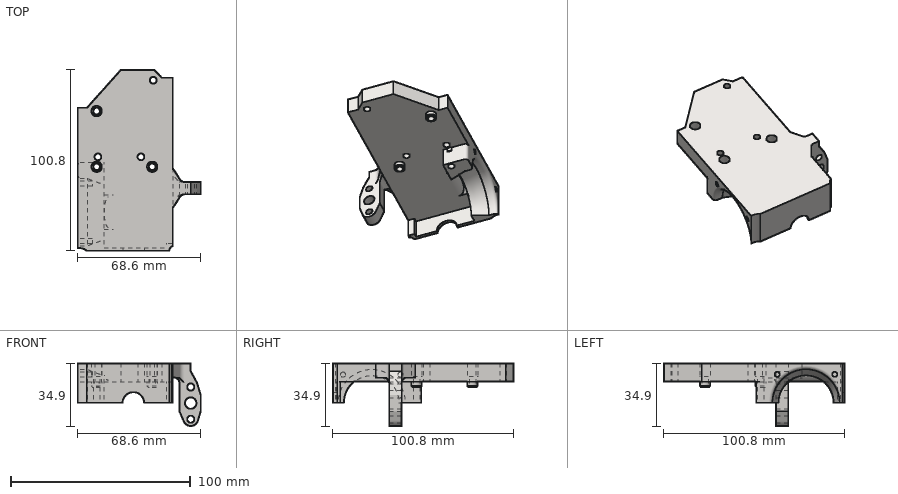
import cadquery as cq
import math


plate_width = 53.1
plate_length = 100.8
plate_thickness = 10.1
left_side_length = 79.7
left_step = 5.2
slope_end_x = 24.1
rear_flat_end_x = 42.7
right_shoulder_x = 46.8
right_side_length = 96.4

cradle_depth = 22.0
cradle_length = 49.4
left_wall = 14.5
front_wall = 1.7
rear_corner_radius = 1.9

recess_depth = 1.4
recess_flat = 1.2
recess_end_x = 5.0

right_recess_depth = 2.4
right_recess_flat = 0.6
right_recess_run = 1.5
right_recess_bulge = 0.25

bore_y = 21.6
mouth_radius = 20.8
bore_radius = 18.7
bore_straight_end = 5.2
bore_throat_radius = 15.3
runout_round = 5.0

notch_x = 31.0
notch_radius = 5.9

side_hole_radius = 1.4
side_hole_offset = 16.0
side_hole_z = -6.0
side_hole_depth = 8.1

screw_positions = [(10.6, 77.8), (10.6, 46.7), (41.5, 46.7)]
screw_radius = 1.8
counterbore_radius = 2.9
counterbore_depth = 7.1
boss_radius = 2.9
boss_height = 3.0
boss_chamfer = 0.6

plain_hole_positions = [(42.1, 94.9), (11.3, 52.3), (35.3, 52.3)]
plain_hole_radius = 1.8

arm_y = 34.9
arm_width = 7.1
arm_left = 56.6
arm_right = 68.6
arm_axis_x = 63.0
arm_depth = 34.9
arm_taper_z = -26.6
arm_right_top_z = -17.5
arm_bend = (66.5, -10.7)
arm_neck_z = -4.2
arm_tip_radius = 4.2
arm_hole_z = -22.1
arm_hole_spacing = 9.0
arm_hole_radius = 1.9
arm_center_hole_radius = 3.1

web_thickness = 7.9
web_half_width = 11.0
web_end_x = 57.8
web_blend_radius = 3.0
web_fillet = 3.0

pick_margin = 0.1


def z_cylinder(x, y, radius, top, bottom):
    return cq.Workplane("XY", origin=(x, y, bottom)).circle(radius).extrude(top - bottom)


def make_plate():
    outline = [
        (0, 0),
        (plate_width, 0),
        (plate_width, right_side_length),
        (right_shoulder_x, right_side_length),
        (rear_flat_end_x, plate_length),
        (slope_end_x, plate_length),
        (left_step, left_side_length),
        (0, left_side_length),
    ]
    return cq.Workplane("XY").polyline(outline).close().extrude(-plate_thickness)


def make_cradle():
    left = (
        cq.Workplane("XY")
        .box(left_wall, cradle_length, cradle_depth, centered=False)
        .translate((0, 0, -cradle_depth))
        .edges("|Z and <X and >Y")
        .fillet(rear_corner_radius)
    )
    front = (
        cq.Workplane("XY")
        .box(plate_width, front_wall, cradle_depth, centered=False)
        .translate((0, 0, -cradle_depth))
    )
    post_x = right_recess_flat + right_recess_run + front_wall
    post_y = right_recess_depth + front_wall
    post = (
        cq.Workplane("XY")
        .box(post_x, post_y, cradle_depth, centered=False)
        .translate((plate_width - post_x, 0, -cradle_depth))
    )
    return left.union(front).union(post)


def make_left_recess():
    run = recess_end_x - recess_flat
    radius = (run**2 + recess_depth**2) / (2 * recess_depth)
    half_angle = math.asin(run / radius) / 2
    middle = (
        recess_flat + radius * math.sin(half_angle),
        recess_depth - radius * (1 - math.cos(half_angle)),
    )
    return (
        cq.Workplane("XY")
        .lineTo(0, recess_depth)
        .lineTo(recess_flat, recess_depth)
        .threePointArc(middle, (recess_end_x, 0))
        .close()
        .extrude(-cradle_depth)
    )


def make_right_recess():
    flat_x = plate_width - right_recess_flat
    start_x = flat_x - right_recess_run
    chord = math.hypot(right_recess_run, right_recess_depth)
    middle = (
        (start_x + flat_x) / 2 - right_recess_bulge * right_recess_depth / chord,
        right_recess_depth / 2 + right_recess_bulge * right_recess_run / chord,
    )
    return (
        cq.Workplane("XY")
        .moveTo(start_x, 0)
        .threePointArc(middle, (flat_x, right_recess_depth))
        .lineTo(plate_width, right_recess_depth)
        .lineTo(plate_width, 0)
        .close()
        .extrude(-cradle_depth)
    )


def make_bore():
    mouth_round = mouth_radius - bore_radius
    diagonal = mouth_round * math.sqrt(0.5)
    profile = (
        cq.Workplane("XY")
        .lineTo(0, mouth_radius)
        .threePointArc(
            (mouth_round - diagonal, mouth_radius - diagonal),
            (mouth_round, bore_radius),
        )
        .lineTo(bore_straight_end, bore_radius)
        .lineTo(left_wall, bore_throat_radius)
        .lineTo(left_wall, 0)
        .close()
    )
    return profile.revolve(360, (0, 0, 0), (1, 0, 0)).translate((0, bore_y, -cradle_depth))


def make_bore_runout():
    runout_end = left_wall + runout_round
    round_top = runout_round - plate_thickness
    throat = (
        cq.Workplane("YZ", origin=(left_wall, bore_y, -cradle_depth))
        .circle(bore_throat_radius)
        .extrude(runout_round)
    )
    kept_edge = (
        cq.Workplane("XZ", origin=(runout_end, plate_length, round_top))
        .circle(runout_round)
        .extrude(plate_length)
    )
    above_plate_underside = (
        cq.Workplane("XY")
        .box(runout_round, cradle_length, plate_thickness, centered=False)
        .translate((left_wall, 0, -plate_thickness))
    )
    return throat.intersect(above_plate_underside).cut(kept_edge)


def make_arm():
    tip_z = arm_tip_radius - arm_depth

    def tangent_point(start_x, side):
        dx = start_x - arm_axis_x
        dz = arm_taper_z - tip_z
        angle = math.atan2(dz, dx) + side * math.acos(arm_tip_radius / math.hypot(dx, dz))
        return (
            arm_axis_x + arm_tip_radius * math.cos(angle),
            tip_z + arm_tip_radius * math.sin(angle),
        )

    profile = (
        cq.Workplane("XZ", origin=(0, arm_y + arm_width / 2, 0))
        .moveTo(arm_left, 0)
        .lineTo(arm_left, arm_taper_z)
        .lineTo(*tangent_point(arm_left, 1))
        .threePointArc((arm_axis_x, -arm_depth), tangent_point(arm_right, -1))
        .lineTo(arm_right, arm_taper_z)
        .lineTo(arm_right, arm_right_top_z)
        .lineTo(*arm_bend)
        .lineTo(arm_axis_x, arm_neck_z)
        .lineTo(arm_axis_x, 0)
        .close()
        .extrude(arm_width)
    )
    holes = [
        (arm_hole_z + arm_hole_spacing, arm_hole_radius),
        (arm_hole_z, arm_center_hole_radius),
        (arm_hole_z - arm_hole_spacing, arm_hole_radius),
    ]
    for z, radius in holes:
        hole = (
            cq.Workplane("XZ", origin=(arm_axis_x, arm_y + arm_width / 2, z))
            .circle(radius)
            .extrude(arm_width)
        )
        profile = profile.cut(hole)
    return profile


def make_web():
    half_arm = arm_width / 2
    depth = web_thickness + web_fillet
    outline = (
        cq.Workplane("XY")
        .polyline([
            (plate_width, arm_y - web_half_width),
            (web_end_x, arm_y - half_arm),
            (arm_axis_x, arm_y - half_arm),
            (arm_axis_x, arm_y + half_arm),
            (web_end_x, arm_y + half_arm),
            (plate_width, arm_y + web_half_width),
        ])
        .close()
        .extrude(-depth)
    )
    corners = cq.selectors.BoxSelector(
        (web_end_x - pick_margin, 0, -depth), (web_end_x + pick_margin, plate_length, 0)
    )
    web = outline.edges("|Z").edges(corners).fillet(web_blend_radius)

    reach = arm_left - web_fillet
    under_left = (
        cq.Workplane("XY")
        .box(reach - plate_width, plate_length, web_fillet, centered=False)
        .translate((plate_width, 0, -depth))
    )
    web = web.cut(under_left)
    web = web.cut(
        cq.Workplane("XZ", origin=(reach, plate_length, -depth)).circle(web_fillet).extrude(plate_length)
    )
    for side in (-1, 1):
        fillet_axis_y = arm_y + side * (half_arm + web_fillet)
        web = web.cut(
            cq.Workplane("YZ", origin=(plate_width, fillet_axis_y, -depth))
            .circle(web_fillet)
            .extrude(arm_right - plate_width)
        )
        beyond = (
            cq.Workplane("XY")
            .box(arm_right - plate_width, web_half_width, web_fillet, centered=(False, True, False))
            .translate((plate_width, fillet_axis_y + side * web_half_width / 2, -depth))
        )
        web = web.cut(beyond)
    return web


body = make_plate().union(make_cradle()).cut(make_bore()).cut(make_bore_runout())
body = body.cut(make_left_recess()).cut(make_right_recess())

body = body.cut(
    cq.Workplane("XZ", origin=(notch_x, front_wall, -cradle_depth)).circle(notch_radius).extrude(front_wall)
)

for x, y in screw_positions:
    boss = z_cylinder(x, y, boss_radius, -plate_thickness, -plate_thickness - boss_height)
    body = body.union(boss.faces("<Z").chamfer(boss_chamfer))
for x, y in screw_positions:
    body = body.cut(z_cylinder(x, y, counterbore_radius, 0, -counterbore_depth))
    body = body.cut(z_cylinder(x, y, screw_radius, 0, -cradle_depth))

for x, y in plain_hole_positions:
    body = body.cut(z_cylinder(x, y, plain_hole_radius, 0, -plate_thickness))

for side in (-1, 1):
    body = body.cut(
        cq.Workplane("YZ", origin=(0, bore_y + side * side_hole_offset, side_hole_z))
        .circle(side_hole_radius)
        .extrude(side_hole_depth)
    )

result = body.union(make_web()).union(make_arm())